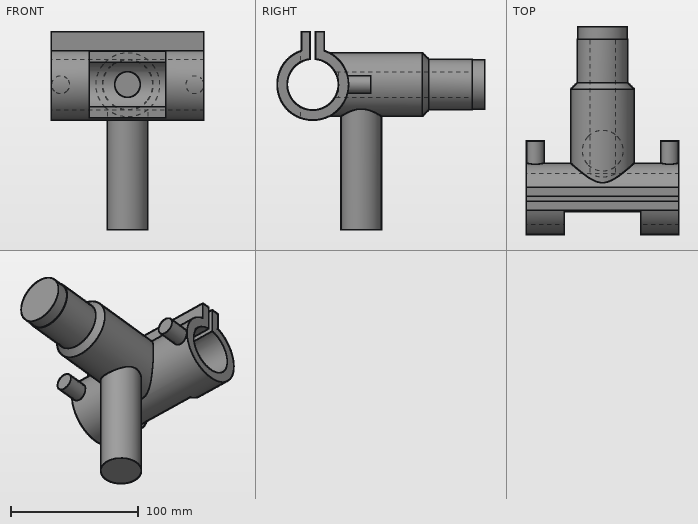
import cadquery as cq

sleeve_length = 120.0
sleeve_diameter = 56.0
bore_diameter = 40.0
sleeve_radius = sleeve_diameter / 2
bore_radius = bore_diameter / 2

lug_top = 41.5
lugs_width = 18.0
slot_width = 4.0

window_length = sleeve_length / 2
window_plane = -10.0

total_depth = 163.0
barrel_diameter = 50.0
neck_diameter = 40.0
head_diameter = 39.0
head_length = 10.0
neck_start_from_end = 44.0
back_end = total_depth - sleeve_radius
neck_end = back_end - head_length
neck_start = back_end - neck_start_from_end
cone_length = (barrel_diameter - neck_diameter) / 2
cone_start = neck_start - cone_length

shank_diameter = 20.0

handle_diameter = 32.0
handle_y = 38.0
total_height = 155.5
handle_bottom = lug_top - total_height

post_diameter = 14.0
post_offset = 52.6
post_end = 45.5


def rod_along_y(diameter, start, end, x=0):
    """Round rod parallel to Y between two Y positions."""
    return cq.Workplane("XZ", origin=(x, start, 0)).circle(diameter / 2).extrude(start - end)


def rod_along_x(diameter):
    """Round rod on the sleeve axis, as long as the sleeve."""
    return cq.Workplane("YZ").circle(diameter / 2).extrude(sleeve_length / 2, both=True)


def upright_slab(width):
    """Slab standing on the sleeve axis, up to the top of the lugs."""
    return cq.Workplane("XY").box(sleeve_length, width, lug_top, centered=(True, True, False))


def make_barrel():
    """Barrel that tapers through a cone to a narrower neck."""
    profile = [
        (0, 0),
        (barrel_diameter / 2, 0),
        (barrel_diameter / 2, cone_start),
        (neck_diameter / 2, neck_start),
        (neck_diameter / 2, neck_end),
        (0, neck_end),
    ]
    return cq.Workplane("XY").polyline(profile).close().revolve(360, (0, 0, 0), (0, 1, 0))


def make_handle():
    """Vertical round handle that ends inside the barrel."""
    return (
        cq.Workplane("XY", origin=(0, handle_y, handle_bottom))
        .circle(handle_diameter / 2)
        .extrude(-handle_bottom)
    )


def make_window():
    """Cutter that opens the front of the sleeve down to a flat plane."""
    return cq.Workplane("XY", origin=(0, window_plane - sleeve_radius / 2, 0)).box(
        window_length, sleeve_radius, sleeve_diameter
    )


def make_housing():
    """Clamp, barrel, handle and posts in one piece, with a hole for the pin."""
    body = rod_along_x(sleeve_diameter).union(upright_slab(lugs_width))
    body = body.union(make_barrel()).union(make_handle())
    for side in (-1, 1):
        body = body.union(rod_along_y(post_diameter, 0, post_end, side * post_offset))
    body = body.cut(rod_along_x(bore_diameter)).cut(upright_slab(slot_width))
    return body.cut(make_window()).cut(rod_along_y(shank_diameter, 0, neck_end))


def make_pin():
    """Shank through the barrel with a wider head against the neck."""
    shank = rod_along_y(shank_diameter, bore_radius, neck_end)
    head = rod_along_y(head_diameter, neck_end, back_end)
    return shank.union(head)


housing = make_housing()
pin = make_pin()

result = cq.Compound.makeCompound([housing.solids().val(), pin.solids().val()])